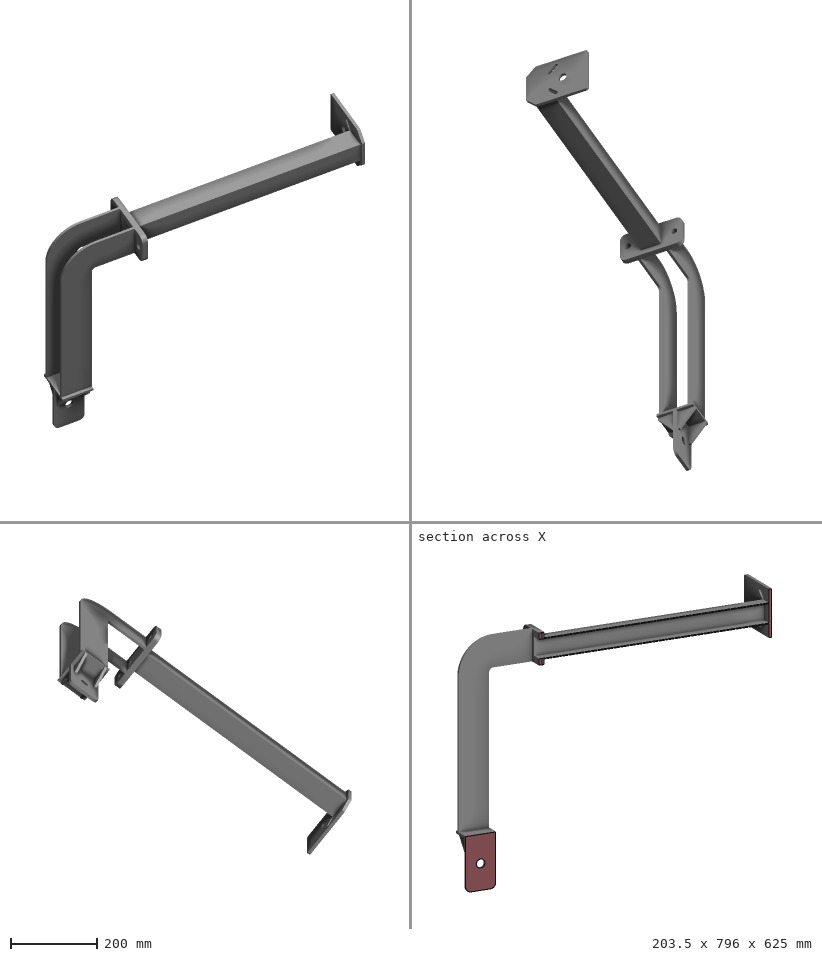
import cadquery as cq
import math


total_depth = 796.0
total_height = 625.0
sheet = 8.0
thin_sheet = 6.0

wall_width = 158.5
wall_height = 119.5
wall_left = -124.0
wall_corner_radius = 5.0
wall_chamfer = 25.0
wall_hole_x = -60.0
wall_hole_diameter = 21.0
slot_width = 9.0
slot_outer_end = 43.0

tube_size = 52.5
tube_wall = 3.0
tube_bore = tube_size - 2 * tube_wall

flange_width = 159.0
flange_height = 80.0
flange_thickness = 7.0
flange_corner_radius = 15.0
flange_hole_spacing = 119.5
bolt_hole_diameter = 16.0

bracket_depth = 198.0
joint_y = -(total_depth - bracket_depth)
front_y = -total_depth
leg_width = flange_height
leg_spacing = 80.0
bend_inner_radius = 10.0
bend_outer_radius = leg_width + bend_inner_radius
bracket_top = flange_height / 2
bracket_bottom = wall_height / 2 - total_height
rear_y = front_y + leg_width

cap_width = 95.0
cap_top = -427.5
cap_bottom = cap_top - thin_sheet
tongue_corner_radius = 15.0
tongue_hole_diameter = 21.0
tongue_hole_height = 66.0
gusset_height = 52.5
gusset_lip = 5.0
gusset_inset = 8.0


def box_between(x_range, y_range, z_range):
    """Box given by its limits along each axis."""
    spans = [high - low for low, high in (x_range, y_range, z_range)]
    corner = (x_range[0], y_range[0], z_range[0])
    return cq.Workplane("XY").box(*spans, centered=False).translate(corner)


def hole_along_y(x, diameter, y_front, depth):
    """Round cutter running from y_front toward +Y."""
    return (
        cq.Workplane("XZ", origin=(x, y_front, 0))
        .circle(diameter / 2)
        .extrude(-depth)
    )


def make_wall_plate():
    """Plate with two chamfered corners, a bolt hole and two slots leaving the tube corners at 45 degrees."""
    half_height = wall_height / 2
    right = wall_left + wall_width
    plate = (
        cq.Workplane("XZ")
        .moveTo(wall_left, -half_height)
        .lineTo(right - wall_chamfer, -half_height)
        .lineTo(right, -half_height + wall_chamfer)
        .lineTo(right, half_height - wall_chamfer)
        .lineTo(right - wall_chamfer, half_height)
        .lineTo(wall_left, half_height)
        .close()
        .extrude(sheet)
        .edges("|Y")
        .fillet(wall_corner_radius)
    )
    plate = plate.cut(hole_along_y(wall_hole_x, wall_hole_diameter, -sheet, sheet))

    slot_inner_end = tube_size / 2
    slot_middle = (slot_inner_end + slot_outer_end) / 2
    slot_length = (slot_outer_end - slot_inner_end) * math.sqrt(2) + slot_width
    for side, angle in ((1, 135), (-1, 45)):
        slot = (
            cq.Workplane("XZ")
            .center(-slot_middle, side * slot_middle)
            .slot2D(slot_length, slot_width, angle)
            .extrude(sheet)
        )
        plate = plate.cut(slot)
    return plate


def make_flange(y_front):
    """Rounded flange with two bolt holes and a square opening of the tube bore."""
    flange = (
        cq.Workplane("XZ", origin=(0, y_front, 0))
        .rect(flange_width, flange_height)
        .extrude(-flange_thickness)
        .edges("|Y")
        .fillet(flange_corner_radius)
    )
    for side in (-1, 1):
        hole_x = side * flange_hole_spacing / 2
        flange = flange.cut(hole_along_y(hole_x, bolt_hole_diameter, y_front, flange_thickness))
    opening = cq.Workplane("XZ", origin=(0, y_front, 0)).rect(tube_bore, tube_bore).extrude(-flange_thickness)
    return flange.cut(opening)


def make_arm():
    """Wall plate, square tube and rear flange welded into one body."""
    tube_length = -joint_y - sheet - flange_thickness
    tube = (
        cq.Workplane("XZ", origin=(0, -sheet, 0))
        .rect(tube_size, tube_size)
        .rect(tube_bore, tube_bore)
        .extrude(tube_length)
    )
    return make_wall_plate().union(tube).union(make_flange(joint_y))


def make_leg(x_left):
    """Flat elbow-shaped side leg from the front flange to the cap plate."""
    flange_front = joint_y - flange_thickness
    diagonal = math.sqrt(0.5)
    bend_y = rear_y + bend_inner_radius
    bend_z = bracket_top - bend_outer_radius
    return (
        cq.Workplane("YZ", origin=(x_left, 0, 0))
        .moveTo(flange_front, bracket_top)
        .lineTo(bend_y, bracket_top)
        .threePointArc(
            (bend_y - bend_outer_radius * diagonal, bend_z + bend_outer_radius * diagonal),
            (front_y, bend_z),
        )
        .lineTo(front_y, cap_top)
        .lineTo(rear_y, cap_top)
        .lineTo(rear_y, bend_z)
        .threePointArc(
            (bend_y - bend_inner_radius * diagonal, bend_z + bend_inner_radius * diagonal),
            (bend_y, bracket_top - leg_width),
        )
        .lineTo(flange_front, bracket_top - leg_width)
        .close()
        .extrude(thin_sheet)
    )


def make_tongue():
    """Central hanging plate with rounded bottom corners and a pin hole."""
    tongue = box_between((-sheet / 2, sheet / 2), (front_y, rear_y), (bracket_bottom, cap_bottom))
    tongue = tongue.edges("|X and <Z").fillet(tongue_corner_radius)
    pin_hole = (
        cq.Workplane("YZ", origin=(-sheet / 2, (front_y + rear_y) / 2, bracket_bottom + tongue_hole_height))
        .circle(tongue_hole_diameter / 2)
        .extrude(sheet)
    )
    return tongue.cut(pin_hole)


def make_gusset_pair(y_front):
    """Left and right triangular gussets between the cap plate and the tongue, as one plate."""
    half_cap = cap_width / 2
    half_tip = sheet / 2 + gusset_lip
    tip_z = cap_bottom - gusset_height
    return (
        cq.Workplane("XZ", origin=(0, y_front, 0))
        .moveTo(-half_cap, cap_bottom)
        .lineTo(-half_cap, cap_bottom - gusset_lip)
        .lineTo(-half_tip, tip_z)
        .lineTo(half_tip, tip_z)
        .lineTo(half_cap, cap_bottom - gusset_lip)
        .lineTo(half_cap, cap_bottom)
        .close()
        .extrude(-thin_sheet)
    )


def make_bracket():
    """Front flange, two elbow legs, cap plate, tongue and gussets welded into one body."""
    bracket = make_flange(joint_y - flange_thickness)
    for x_left in (-leg_spacing / 2, leg_spacing / 2 - thin_sheet):
        bracket = bracket.union(make_leg(x_left))
    cap = box_between((-cap_width / 2, cap_width / 2), (front_y, rear_y), (cap_bottom, cap_top))
    bracket = bracket.union(cap).union(make_tongue())
    for y_front in (front_y + gusset_inset, rear_y - gusset_inset - thin_sheet):
        bracket = bracket.union(make_gusset_pair(y_front))
    return bracket


arm = make_arm()
bracket = make_bracket()

result = cq.Compound.makeCompound([arm.solids().val(), bracket.solids().val()])